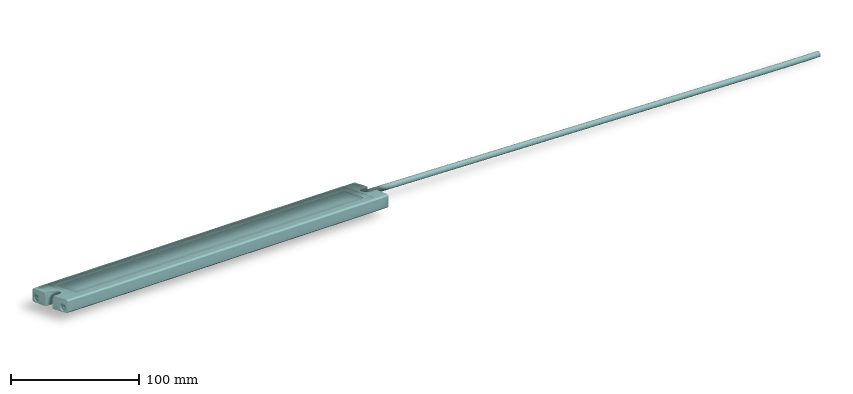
import cadquery as cq
import math

BAR_WIDTH = 40.0
BAR_LENGTH = 350.0
BAR_HEIGHT = 11.0
END_RADIUS = 200.0
END_LENGTH = 18.5
END_TAPER = 0.3
SIDE_CHAMFER = 1.2

SLOT_WIDTH = 8.0
SLOT_DEPTH = 10.0
LEDGE_WIDTH = 1.0
LEDGE_DEPTH = 2.0

SCREW_X = 15.0
SCREW_Z = 4.0
SCREW_HEAD_DIAMETER = 6.0
SCREW_HEAD_DEPTH = 2.0
SCREW_HOLE_DIAMETER = 3.0
SCREW_HOLE_DEPTH = 10.0

PANEL_WIDTH = 34.0
PANEL_END_MARGIN = 13.5
PANEL_DEPTH = 0.5
WINDOW_WIDTH = 23.0
WINDOW_END_MARGIN = 18.5
WINDOW_CORNER_RADIUS = 3.0
WINDOW_DEPTH = 0.5

CABLE_REACH = 493.05
OVERALL_HEIGHT = 17.83
CABLE_DIAMETER = 5.0
CABLE_X = -9.0
CABLE_TIP_CURVE = 49.5
CABLE_EXIT_Z = 4.0
CABLE_EMBED = 6.0

half_width = BAR_WIDTH / 2
half_length = BAR_LENGTH / 2


def housing():
    """Plain bar with tapered ends, bowed end faces and chamfered long edges."""
    corner_x = half_width - END_TAPER
    bow = END_RADIUS - math.sqrt(END_RADIUS**2 - corner_x**2)
    corner_y = half_length - bow
    taper_y = half_length - END_LENGTH
    bar = (
        cq.Workplane("XY")
        .moveTo(half_width, -taper_y)
        .lineTo(half_width, taper_y)
        .lineTo(corner_x, corner_y)
        .threePointArc((0, half_length), (-corner_x, corner_y))
        .lineTo(-half_width, taper_y)
        .lineTo(-half_width, -taper_y)
        .lineTo(-corner_x, -corner_y)
        .threePointArc((0, -half_length), (corner_x, -corner_y))
        .close()
        .extrude(BAR_HEIGHT)
    )
    long_edges = bar.faces("<Z or >Z").edges("%LINE")
    return bar.newObject(long_edges.vals()).chamfer(SIDE_CHAMFER)


def open_slot(end, width, depth, height):
    """Round-ended cutter sunk into the top, open at the +Y (end = 1) or -Y (end = -1) face."""
    inner_y = half_length - depth
    outer_y = half_length + width
    centre = (0, end * (inner_y + outer_y) / 2, BAR_HEIGHT)
    return cq.Workplane("XY", origin=centre).slot2D(outer_y - inner_y, width, 90).extrude(-height)


def end_slot(end):
    """Through slot with a shallow ledge around it."""
    slot = open_slot(end, SLOT_WIDTH, SLOT_DEPTH, BAR_HEIGHT)
    ledge = open_slot(end, SLOT_WIDTH + 2 * LEDGE_WIDTH, SLOT_DEPTH + LEDGE_WIDTH, LEDGE_DEPTH)
    return slot.union(ledge)


def screw_hole(end, side):
    """Counterbored blind hole in one end face; side = 1 lies toward +X, -1 toward -X."""
    face = cq.Plane(
        origin=(side * SCREW_X, end * half_length, SCREW_Z),
        xDir=(1, 0, 0),
        normal=(0, end, 0),
    )
    head = cq.Workplane(face).circle(SCREW_HEAD_DIAMETER / 2).extrude(-SCREW_HEAD_DEPTH)
    shank = cq.Workplane(face).circle(SCREW_HOLE_DIAMETER / 2).extrude(-SCREW_HOLE_DEPTH)
    return head.union(shank)


def panel_recess():
    length = BAR_LENGTH - 2 * PANEL_END_MARGIN
    floor_z = BAR_HEIGHT - PANEL_DEPTH
    return cq.Workplane("XY", origin=(0, 0, floor_z)).rect(PANEL_WIDTH, length).extrude(PANEL_DEPTH)


def window_recess():
    length = BAR_LENGTH - 2 * WINDOW_END_MARGIN
    depth = PANEL_DEPTH + WINDOW_DEPTH
    return (
        cq.Workplane("XY", origin=(0, 0, BAR_HEIGHT - depth))
        .rect(WINDOW_WIDTH, length)
        .extrude(depth)
        .edges("|Z")
        .fillet(WINDOW_CORNER_RADIUS)
    )


def cable():
    """Round cable swept from inside the housing to its level tip."""
    radius = CABLE_DIAMETER / 2
    exit_y = half_length
    tip_y = half_length + CABLE_REACH
    tip_z = BAR_HEIGHT - OVERALL_HEIGHT + radius
    slope = (CABLE_EXIT_Z - tip_z) / (tip_y - exit_y - CABLE_TIP_CURVE / 2)
    angle = math.atan(slope)
    curve_y = tip_y - CABLE_TIP_CURVE
    curve_z = CABLE_EXIT_Z - slope * (curve_y - exit_y)
    start_y = exit_y - CABLE_EMBED
    start_z = CABLE_EXIT_Z + slope * CABLE_EMBED
    down_slope = (math.cos(angle), -math.sin(angle))
    path = (
        cq.Workplane("YZ", origin=(CABLE_X, 0, 0))
        .moveTo(start_y, start_z)
        .lineTo(curve_y, curve_z)
        .tangentArcPoint((tip_y, tip_z), relative=False)
    )
    section = cq.Plane(
        origin=(CABLE_X, start_y, start_z),
        xDir=(1, 0, 0),
        normal=(0, *down_slope),
    )
    return cq.Workplane(section).circle(radius).sweep(path)


body = housing().cut(panel_recess()).cut(window_recess())
for end in (1, -1):
    body = body.cut(end_slot(end))
    for side in (1, -1):
        body = body.cut(screw_hole(end, side))

result = body.union(cable())